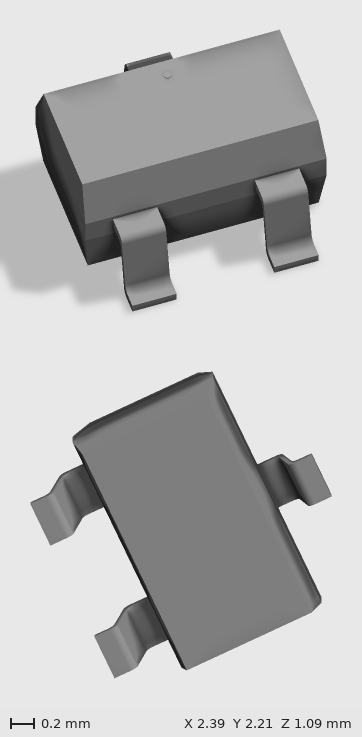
import cadquery as cq

span_x = 2.39
body_length = 2.21
overall_height = 1.09

body_width = 1.343
belt_bottom = 0.47
belt_top = 0.707
bottom_inset_x = 0.075
bottom_inset_y = 0.048
top_inset_x = 0.153
top_inset_y = 0.025

dot_diameter = 0.067
dot_height = 0.01
dot_x = -0.36
body_top = overall_height - dot_height

lead_width = 0.406
lead_pitch = 1.3
shoulder_bottom = 0.585
shoulder_top = 0.675
foot_thickness = 0.081
bend_radius = 0.07

outer_corner_top_x = 0.905
outer_corner_foot_x = 1.015
inner_corner_shoulder_x = 0.877
inner_corner_bottom_x = 0.982


def make_tapered_half(start_z, end_z, inset_x, inset_y):
    """Loft from the belt outline at start_z to a smaller rectangle at end_z."""
    return (
        cq.Workplane("XY", origin=(0, 0, start_z))
        .rect(body_width, body_length)
        .workplane(offset=end_z - start_z)
        .rect(body_width - 2 * inset_x, body_length - 2 * inset_y)
        .loft(ruled=True)
    )


def make_housing():
    belt = (
        cq.Workplane("XY", origin=(0, 0, belt_bottom))
        .rect(body_width, body_length)
        .extrude(belt_top - belt_bottom)
    )
    lower_half = make_tapered_half(belt_bottom, 0, bottom_inset_x, bottom_inset_y)
    upper_half = make_tapered_half(belt_top, body_top, top_inset_x, top_inset_y)
    dot = (
        cq.Workplane("XY", origin=(dot_x, 0, body_top))
        .circle(dot_diameter / 2)
        .extrude(dot_height)
    )
    return belt.union(lower_half).union(upper_half).union(dot)


def make_lead(side, center_y):
    """Gull-wing lead on the +X (side = 1) or -X (side = -1) wall of the housing."""
    wall_x = body_width / 2
    tip_x = span_x / 2
    profile = [
        (wall_x, shoulder_top),
        (outer_corner_top_x, shoulder_top),
        (outer_corner_foot_x, foot_thickness),
        (tip_x, foot_thickness),
        (tip_x, 0),
        (inner_corner_bottom_x, 0),
        (inner_corner_shoulder_x, shoulder_bottom),
        (wall_x, shoulder_bottom),
    ]
    bend_corners = cq.selectors.BoxSelector(
        (side * (wall_x + bend_radius), center_y - lead_width, -foot_thickness),
        (side * (tip_x - bend_radius), center_y + lead_width, overall_height),
    )
    return (
        cq.Workplane("XZ", origin=(0, center_y, 0))
        .polyline([(side * x, z) for x, z in profile])
        .close()
        .extrude(lead_width / 2, both=True)
        .edges("|Y")
        .edges(bend_corners)
        .fillet(bend_radius)
    )


housing = make_housing()

lead_places = [(-1, 0), (1, -lead_pitch / 2), (1, lead_pitch / 2)]
leads = [make_lead(side, center_y) for side, center_y in lead_places]

result = cq.Compound.makeCompound([housing.val(), *[lead.val() for lead in leads]])